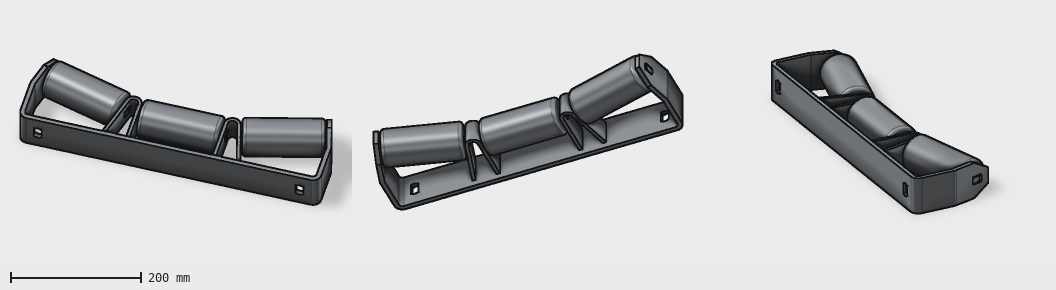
import cadquery as cq
import math

length = 480.0
depth = 138.0
height = 60.0
bar_thickness = 7.5
corner_radius = 13.5
lean_radius = 16.5
tilt = math.radians(15)
leg_bend_y = 68.0

tip_width = 26.0
taper_length = 30.0

hole_width = 13.0
shaft_hole_diameter = 19.5
mount_hole_diameter = 21.5
mount_hole_inset = 31.0

roller_diameter = 60.0
roller_length = 127.0
roller_rounding = 6.0
roller_gap = 2.5
shaft_diameter = 15.0
shaft_flat_width = 10.5
center_roller_y = 71.0
outer_shaft_y = 113.0

bracket_thickness = 6.0
bracket_bend_radius = 13.0
bracket_height = 40.0

cos_t = math.cos(tilt)
sin_t = math.sin(tilt)
up_leg = cq.Vector(sin_t, cos_t, 0)
across_leg = cq.Vector(cos_t, -sin_t, 0)

shaft_drop = (shaft_hole_diameter - shaft_diameter) / 2
face_to_center = roller_length / 2 + roller_gap

leg_bend_center = cq.Vector(lean_radius - length / 2, leg_bend_y, 0)
lean_start = leg_bend_center - across_leg * lean_radius
leg_tip = lean_start + up_leg * ((depth - lean_start.y) / cos_t)
outer_shaft_start = lean_start + up_leg * ((outer_shaft_y - lean_start.y) / cos_t)
outer_roller_center = outer_shaft_start + across_leg * (bar_thickness + face_to_center)
bracket_face = outer_roller_center + across_leg * face_to_center


def polar(center, radius, angle):
    """Point on a circle, with the angle measured from +X."""
    return center + cq.Vector(radius * math.cos(angle), radius * math.sin(angle), 0)


def xy(point):
    return (point.x, point.y)


def flat_sided_prism(plane, diameter, width, depth_through):
    """Cylinder along the plane normal, narrowed to a width along the plane's Y axis."""
    prism = cq.Workplane(plane).circle(diameter / 2).extrude(depth_through)
    flats = cq.Workplane(plane).rect(diameter, width).extrude(depth_through)
    return prism.intersect(flats)


def shaft_hole(face_point, strip_direction, normal, thickness):
    """Cutter for a shaft hole whose shaft axis enters the strip at face_point."""
    center = face_point + strip_direction * shaft_drop
    plane = cq.Plane(origin=center, xDir=strip_direction, normal=normal)
    return flat_sided_prism(plane, shaft_hole_diameter, hole_width, thickness)


def tip_tapers():
    """Cutters for the two slanted corners at the tip of the left leg."""
    plane = cq.Plane(origin=leg_tip, xDir=up_leg, normal=across_leg)
    corner = cq.Workplane(plane).polyline(
        [(-taper_length, height / 2), (0, tip_width / 2), (0, height / 2)]
    ).close().extrude(bar_thickness)
    return corner.union(corner.mirror("XY"))


def half_frame():
    """Left half of the frame: base bar, rounded corner and upright leg with its tip."""
    corner_center = cq.Vector(corner_radius - length / 2, corner_radius, 0)
    corner_middle = math.radians(225)
    lean_middle = math.pi - tilt / 2
    left = -length / 2
    strip = (
        cq.Workplane("XY", origin=(0, 0, -height / 2))
        .moveTo(0, 0)
        .lineTo(corner_center.x, 0)
        .threePointArc(xy(polar(corner_center, corner_radius, corner_middle)), (left, corner_radius))
        .lineTo(left, leg_bend_y)
        .threePointArc(xy(polar(leg_bend_center, lean_radius, lean_middle)), xy(lean_start))
        .lineTo(*xy(leg_tip))
        .lineTo(*xy(leg_tip + across_leg * bar_thickness))
        .lineTo(*xy(lean_start + across_leg * bar_thickness))
        .threePointArc(xy(polar(leg_bend_center, lean_radius - bar_thickness, lean_middle)),
                       (left + bar_thickness, leg_bend_y))
        .lineTo(left + bar_thickness, corner_radius)
        .threePointArc(xy(polar(corner_center, corner_radius - bar_thickness, corner_middle)),
                       (corner_center.x, bar_thickness))
        .lineTo(0, bar_thickness)
        .close()
        .extrude(height)
    )
    mount_plane = cq.Plane(origin=(left + mount_hole_inset, 0, 0), xDir=(0, 0, 1), normal=(0, 1, 0))
    mount_hole = flat_sided_prism(mount_plane, mount_hole_diameter, hole_width, bar_thickness)
    leg_hole = shaft_hole(outer_shaft_start, up_leg, across_leg, bar_thickness)
    return strip.cut(mount_hole).cut(leg_hole).cut(tip_tapers())


def make_frame():
    half = half_frame()
    return half.union(half.mirror("YZ"))


def make_bracket():
    """Left hairpin: a straight leg and a tilted leg joined by a bend tangent to both."""
    inner_radius = bracket_bend_radius - bracket_thickness
    right = -face_to_center
    bend_x = right - bracket_bend_radius
    bend_y = bracket_face.y + ((bend_x - bracket_face.x) * cos_t - bracket_bend_radius) / sin_t
    bend_center = cq.Vector(bend_x, bend_y, 0)
    bend_middle = (math.pi - tilt) / 2
    lean_top = bend_center - across_leg * bracket_bend_radius
    lean_top_inner = lean_top + across_leg * bracket_thickness
    lean_length = (lean_top_inner.y - bar_thickness) / cos_t
    hairpin = (
        cq.Workplane("XY", origin=(0, 0, -bracket_height / 2))
        .moveTo(right, bar_thickness)
        .lineTo(right, bend_y)
        .threePointArc(xy(polar(bend_center, bracket_bend_radius, bend_middle)), xy(lean_top))
        .lineTo(*xy(lean_top - up_leg * lean_length))
        .lineTo(*xy(lean_top_inner - up_leg * lean_length))
        .lineTo(*xy(lean_top_inner))
        .threePointArc(xy(polar(bend_center, inner_radius, bend_middle)),
                       (right - bracket_thickness, bend_y))
        .lineTo(right - bracket_thickness, bar_thickness)
        .close()
        .extrude(bracket_height)
    )
    straight_hole = shaft_hole(cq.Vector(right, center_roller_y, 0), cq.Vector(0, 1, 0),
                               cq.Vector(-1, 0, 0), bracket_thickness)
    tilted_hole = shaft_hole(bracket_face, up_leg, across_leg, bracket_thickness)
    return hairpin.cut(straight_hole).cut(tilted_hole)


def round_bar(diameter, bar_length):
    """Round bar along X, centred on the origin."""
    return cq.Workplane("YZ", origin=(-bar_length / 2, 0, 0)).circle(diameter / 2).extrude(bar_length)


def make_roller(left_strip, right_strip):
    """Roller along X, centred on the origin; its shaft ends flush with the strips that hold it."""
    drum = round_bar(roller_diameter, roller_length)
    drum = drum.edges("%CIRCLE").fillet(roller_rounding)
    journal = round_bar(shaft_diameter, 2 * face_to_center)
    end_plane = cq.Plane(origin=(-face_to_center - left_strip, 0, 0), xDir=(0, 1, 0), normal=(1, 0, 0))
    shaft = flat_sided_prism(end_plane, shaft_diameter, shaft_flat_width,
                             left_strip + 2 * face_to_center + right_strip)
    return drum.union(journal).union(shaft)


def make_left_roller():
    """Outer roller on the left, between the frame leg and the bracket."""
    level = make_roller(bar_thickness, bracket_thickness)
    tilted = level.rotate((0, 0, 0), (0, 0, 1), -math.degrees(tilt))
    return tilted.translate(outer_roller_center)


frame = make_frame()

left_bracket = make_bracket()
brackets = [left_bracket, left_bracket.mirror("YZ")]

center_roller = make_roller(bracket_thickness, bracket_thickness).translate((0, center_roller_y, 0))
left_roller = make_left_roller()
rollers = [left_roller, center_roller, left_roller.mirror("YZ")]

result = cq.Compound.makeCompound([body.val() for body in [frame, *brackets, *rollers]])